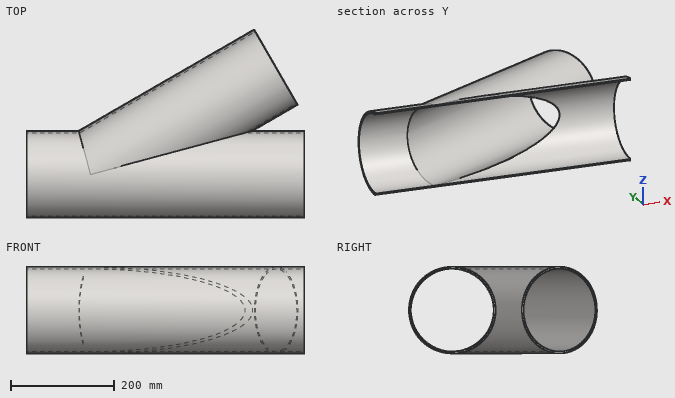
import cadquery as cq
import math

pipe_length = 537.0
outer_diameter = 168.0
wall = 4.0
branch_angle = 30.0
branch_length = 414.5
crossing_x = 123.0

bore_diameter = outer_diameter - 2 * wall
branch_direction = cq.Vector(
    math.cos(math.radians(branch_angle)), math.sin(math.radians(branch_angle)), 0
)


def pipe_rod(diameter):
    """Solid rod along the whole main pipe."""
    return cq.Workplane("YZ").circle(diameter / 2).extrude(pipe_length)


def branch_rod(diameter):
    """Solid rod from the axis crossing to the open end of the branch."""
    start = cq.Plane(origin=(crossing_x, 0, 0), xDir=(0, 0, 1), normal=branch_direction)
    return cq.Workplane(start).circle(diameter / 2).extrude(branch_length)


outside = pipe_rod(outer_diameter).union(branch_rod(outer_diameter))
result = outside.cut(pipe_rod(bore_diameter)).cut(branch_rod(bore_diameter))